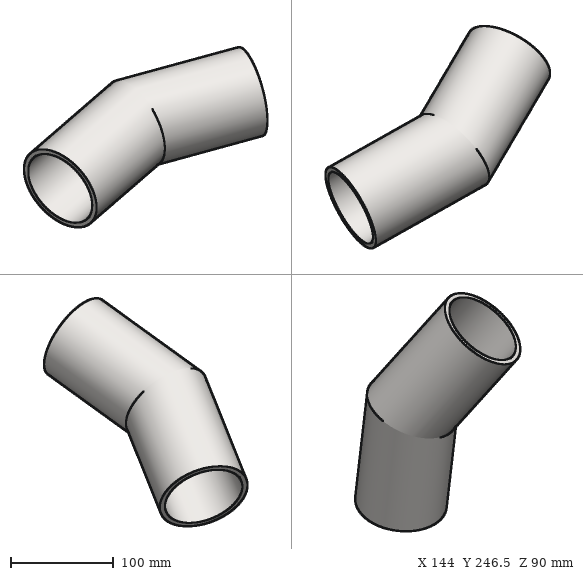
import cadquery as cq
import math

OUTER_DIAMETER = 90.0
WALL_THICKNESS = 5.4
BEND_ANGLE = 30.0
LEG_LENGTH = 120.04

OUTER_RADIUS = OUTER_DIAMETER / 2
INNER_RADIUS = OUTER_RADIUS - WALL_THICKNESS


def mitred_rod(radius):
    """Solid rod following the bent centreline, with the mitre point at the origin."""
    bend = math.radians(BEND_ANGLE)
    far_end = (LEG_LENGTH * math.sin(bend), LEG_LENGTH * math.cos(bend))
    centreline = (
        cq.Workplane("XY")
        .moveTo(0, -LEG_LENGTH)
        .lineTo(0, 0)
        .lineTo(*far_end)
    )
    start_plane = cq.Plane(origin=(0, -LEG_LENGTH, 0), xDir=(1, 0, 0), normal=(0, 1, 0))
    return cq.Workplane(start_plane).circle(radius).sweep(centreline, transition="right")


result = mitred_rod(OUTER_RADIUS).cut(mitred_rod(INNER_RADIUS))